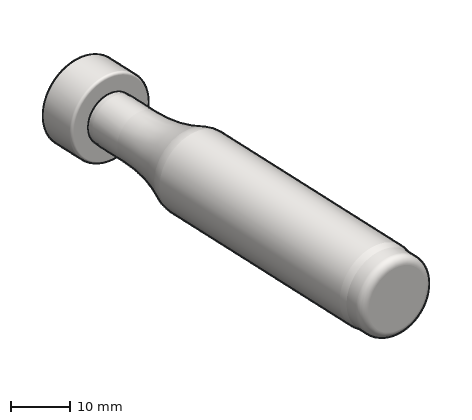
import cadquery as cq
import math

length = 85.0
head_length = 8.0
head_radius = 17.0 / 2

front_fillet = 0.38
dish_depth = 0.3
dish_floor_radius = 6.6
rear_fillet = 0.5

collar_radius = 4.9
collar_end = 9.3
neck_radius = 10.0 / 2
neck_end = 16.0
shank_radius = 16.0 / 2
shank_start = 31.0
shoulder_radius = 5.0
shank_end = 79.5
tip_radius = 15.5 / 2
tip_start = 81.0
tip_fillet = 1.5


def revolve_about_x(outline):
    """Turn a closed (x, radius) outline through a full circle about the X axis."""
    return outline.close().revolve(360, (0, 0, 0), (1, 0, 0))


def quarter_round_middle(center_x, center_r, radius, x_side):
    """Middle point of an outward quarter round; x_side is -1 or +1."""
    offset = radius * math.sqrt(0.5)
    return (center_x + x_side * offset, center_r + offset)


def make_head():
    """Disc with rounded rims and a shallow flat-bottomed dish in its face."""
    rim_radius = head_radius - front_fillet
    outline = (
        cq.Workplane("XY")
        .moveTo(dish_depth, 0)
        .lineTo(dish_depth, dish_floor_radius)
        .lineTo(0, rim_radius)
        .threePointArc(
            quarter_round_middle(front_fillet, rim_radius, front_fillet, -1),
            (front_fillet, head_radius),
        )
        .lineTo(head_length - rear_fillet, head_radius)
        .threePointArc(
            quarter_round_middle(head_length - rear_fillet, head_radius - rear_fillet, rear_fillet, 1),
            (head_length, head_radius - rear_fillet),
        )
        .lineTo(head_length, 0)
    )
    return revolve_about_x(outline)


def make_pin():
    """Slightly tapered collar seated on the head, neck, flared shoulder, shank and stepped-down tip."""
    flare_length = shank_start - neck_end
    flare_rise = shank_radius - neck_radius
    radii_sum = (flare_length**2 + flare_rise**2) / (2 * flare_rise)
    flare_radius = radii_sum - shoulder_radius
    sweep = math.asin(flare_length / radii_sum)

    def flare_point(angle):
        return (
            neck_end + flare_radius * math.sin(angle),
            neck_radius + flare_radius * (1 - math.cos(angle)),
        )

    def shoulder_point(angle):
        return (
            shank_start - shoulder_radius * math.sin(angle),
            shank_radius - shoulder_radius * (1 - math.cos(angle)),
        )

    outline = (
        cq.Workplane("XY")
        .moveTo(head_length, 0)
        .lineTo(head_length, collar_radius)
        .lineTo(collar_end, neck_radius)
        .lineTo(neck_end, neck_radius)
        .threePointArc(flare_point(sweep / 2), flare_point(sweep))
        .threePointArc(shoulder_point(sweep / 2), (shank_start, shank_radius))
        .lineTo(shank_end, shank_radius)
        .lineTo(tip_start, tip_radius)
        .lineTo(length - tip_fillet, tip_radius)
        .threePointArc(
            quarter_round_middle(length - tip_fillet, tip_radius - tip_fillet, tip_fillet, 1),
            (length, tip_radius - tip_fillet),
        )
        .lineTo(length, 0)
    )
    return revolve_about_x(outline)


head = make_head()
pin = make_pin()

result = cq.Compound.makeCompound([head.val(), pin.val()])